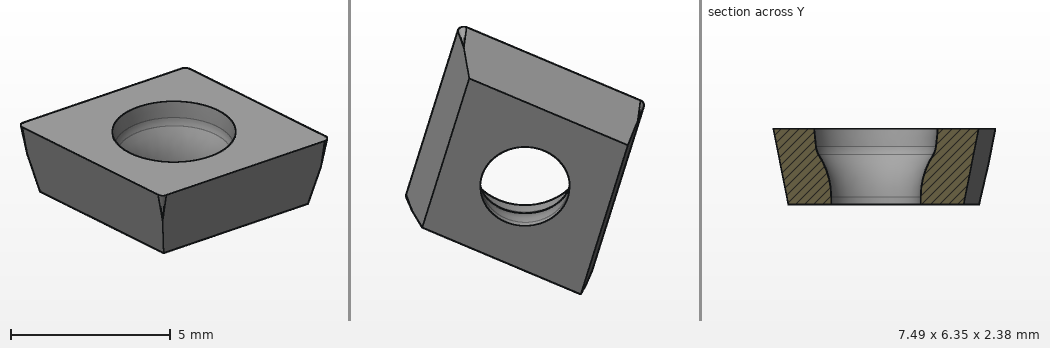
import cadquery as cq
import math

width_y = 6.35
thickness = 2.38
corner_radius = 0.2
acute_angle = math.radians(80)
relief_slope = math.tan(math.radians(11))

bore_diameter = 2.8
seat_top_diameter = 3.87
seat_wall_end_diameter = 3.76
seat_wall_depth = 0.55
throat_top_diameter = 3.61
throat_end_depth = 2.135
throat_radius = 2.4

cone_height = corner_radius / relief_slope


def rhombus_points(inset):
    """Sharp corners of the top outline moved inward by inset."""
    half_height = width_y / 2 - inset
    half_side = half_height / math.sin(acute_angle)
    lean = half_height / math.tan(acute_angle)
    return [
        (-half_side - lean, -half_height),
        (half_side - lean, -half_height),
        (half_side + lean, half_height),
        (-half_side + lean, half_height),
    ]


def make_relieved_body():
    bottom_inset = thickness * relief_slope
    return (
        cq.Workplane("XY")
        .polyline(rhombus_points(bottom_inset))
        .close()
        .workplane(offset=thickness)
        .polyline(rhombus_points(0))
        .close()
        .loft(ruled=True)
    )


def corner_waste(vertex, center):
    """Material outside the corner cone: a four-sided pyramid minus the cone."""
    center = cq.Vector(*center, thickness)
    vertex = cq.Vector(*vertex, thickness)
    apex = center - cq.Vector(0, 0, cone_height)
    outward = vertex - center
    direction = outward.normalized()
    sideways = cq.Vector(-direction.y, direction.x, 0)

    cos_half = corner_radius / outward.Length
    sin_half = math.sqrt(1 - cos_half**2)
    along = direction * (corner_radius * cos_half)
    across = sideways * (corner_radius * sin_half)
    tangent_a = center + along - across
    tangent_b = center + along + across

    rim = [center, tangent_a, vertex, tangent_b]
    faces = [cq.Face.makeFromWires(cq.Wire.makePolygon(rim, close=True))]
    for start, end in zip(rim, rim[1:] + rim[:1]):
        side = cq.Wire.makePolygon([start, end, apex], close=True)
        faces.append(cq.Face.makeFromWires(side))
    pyramid = cq.Solid.makeSolid(cq.Shell.makeShell(faces))
    cone = cq.Solid.makeCone(0, corner_radius, cone_height, apex, cq.Vector(0, 0, 1))
    return pyramid.cut(cone)


def make_screw_hole():
    """Tapered seat wall, small blend, curved throat and straight bore."""
    bore_r = bore_diameter / 2
    throat_top_r = throat_top_diameter / 2
    throat_end_z = thickness - throat_end_depth
    throat_center_r = bore_r + throat_radius

    def throat_point(radius):
        rise = math.sqrt(throat_radius**2 - (throat_center_r - radius) ** 2)
        return (radius, throat_end_z + rise)

    return (
        cq.Workplane("XZ")
        .moveTo(0, thickness)
        .lineTo(seat_top_diameter / 2, thickness)
        .lineTo(seat_wall_end_diameter / 2, thickness - seat_wall_depth)
        .tangentArcPoint(throat_point(throat_top_r), relative=False)
        .threePointArc(throat_point((bore_r + throat_top_r) / 2), (bore_r, throat_end_z))
        .lineTo(bore_r, 0)
        .lineTo(0, 0)
        .close()
        .revolve(360, (0, 0, 0), (0, 1, 0))
    )


result = make_relieved_body()
for vertex, center in zip(rhombus_points(0), rhombus_points(corner_radius)):
    result = result.cut(cq.Workplane(obj=corner_waste(vertex, center)))
result = result.cut(make_screw_hole())